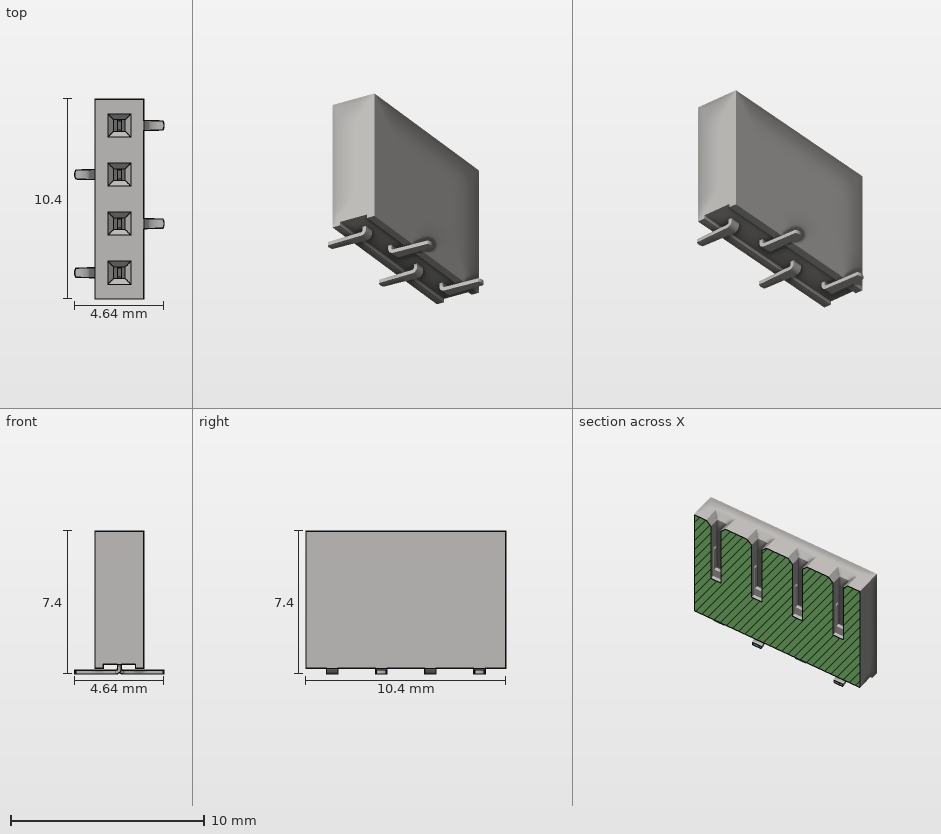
import cadquery as cq
import math

contact_count = 4
pitch = 2.54

housing_width = 2.54
housing_length = 10.36
total_height = 7.4
standoff = 0.3
channel_width = 1.66
channel_depth = 0.2

socket_mouth = 1.2
socket_size = 0.6
socket_depth = 4.0
funnel_depth = (socket_mouth - socket_size) / 2

sheet_thickness = 0.2
gap_length = 0.465
root_height = 0.5
prong_height = 2.0
tip_drop = (socket_size - gap_length) / 2

bend_inner_radius = 0.1
tail_reach = 2.32
tail_width = 0.6
tip_width = 0.48
tip_bulge = 0.07

channel_ceiling = standoff + channel_depth
stem_embed = 0.5


def make_housing():
    """Plain block with a channel along the underside."""
    block = cq.Workplane("XY").workplane(offset=standoff).rect(housing_width, housing_length)
    block = block.extrude(total_height - standoff)
    channel = cq.Workplane("XY").workplane(offset=standoff).rect(channel_width, housing_length)
    return block.cut(channel.extrude(channel_depth))


def make_socket_cutter(y):
    """Square blind hole with a funnel at its mouth."""
    floor = total_height - socket_depth
    hole = cq.Workplane("XY").workplane(offset=floor).center(0, y).rect(socket_size, socket_size)
    hole = hole.extrude(socket_depth)
    funnel = (
        cq.Workplane("XY")
        .workplane(offset=total_height - funnel_depth)
        .center(0, y)
        .rect(socket_size, socket_size)
        .workplane(offset=funnel_depth)
        .rect(socket_mouth, socket_mouth)
        .loft(ruled=True)
    )
    return hole.union(funnel)


def make_fork(y):
    """Two prongs on the socket end walls, joined by a root; the tips slope down toward each other."""
    floor = total_height - socket_depth
    half_socket = socket_size / 2
    half_gap = gap_length / 2
    prong_top = floor + prong_height
    root_top = floor + root_height
    return (
        cq.Workplane("YZ")
        .moveTo(y - half_socket, floor)
        .lineTo(y + half_socket, floor)
        .lineTo(y + half_socket, prong_top)
        .lineTo(y + half_gap, prong_top - tip_drop)
        .lineTo(y + half_gap, root_top)
        .lineTo(y - half_gap, root_top)
        .lineTo(y - half_gap, prong_top - tip_drop)
        .lineTo(y - half_socket, prong_top)
        .close()
        .extrude(sheet_thickness / 2, both=True)
    )


def make_tail(y, side):
    """Bent sheet-metal tail; side is +1 to point along +X and -1 along -X."""
    half_thickness = sheet_thickness / 2
    outer_radius = bend_inner_radius + sheet_thickness
    bend_x = half_thickness + bend_inner_radius
    bend_z = outer_radius
    stem_top = channel_ceiling + stem_embed
    diagonal = math.sqrt(0.5)

    profile = (
        cq.Workplane("XZ")
        .moveTo(-side * half_thickness, stem_top)
        .lineTo(-side * half_thickness, bend_z)
        .threePointArc(
            (side * (bend_x - outer_radius * diagonal), bend_z - outer_radius * diagonal),
            (side * bend_x, 0),
        )
        .lineTo(side * tail_reach, 0)
        .lineTo(side * tail_reach, sheet_thickness)
        .lineTo(side * bend_x, sheet_thickness)
        .threePointArc(
            (side * (bend_x - bend_inner_radius * diagonal), bend_z - bend_inner_radius * diagonal),
            (side * half_thickness, bend_z),
        )
        .lineTo(side * half_thickness, stem_top)
        .close()
        .extrude(tail_width / 2, both=True)
    )

    tip_x = tail_reach - tip_bulge
    outline = (
        cq.Workplane("XY")
        .moveTo(-side * half_thickness, -tail_width / 2)
        .lineTo(side * bend_x, -tail_width / 2)
        .lineTo(side * tip_x, -tip_width / 2)
        .threePointArc((side * tail_reach, 0), (side * tip_x, tip_width / 2))
        .lineTo(side * bend_x, tail_width / 2)
        .lineTo(-side * half_thickness, tail_width / 2)
        .close()
        .extrude(stem_top)
    )
    return profile.intersect(outline).translate((0, y, 0))


result = make_housing()
for index in range(contact_count):
    contact_y = (index - (contact_count - 1) / 2) * pitch
    contact_side = -1 if index % 2 == 0 else 1
    result = result.cut(make_socket_cutter(contact_y))
    result = result.union(make_fork(contact_y))
    result = result.union(make_tail(contact_y, contact_side))